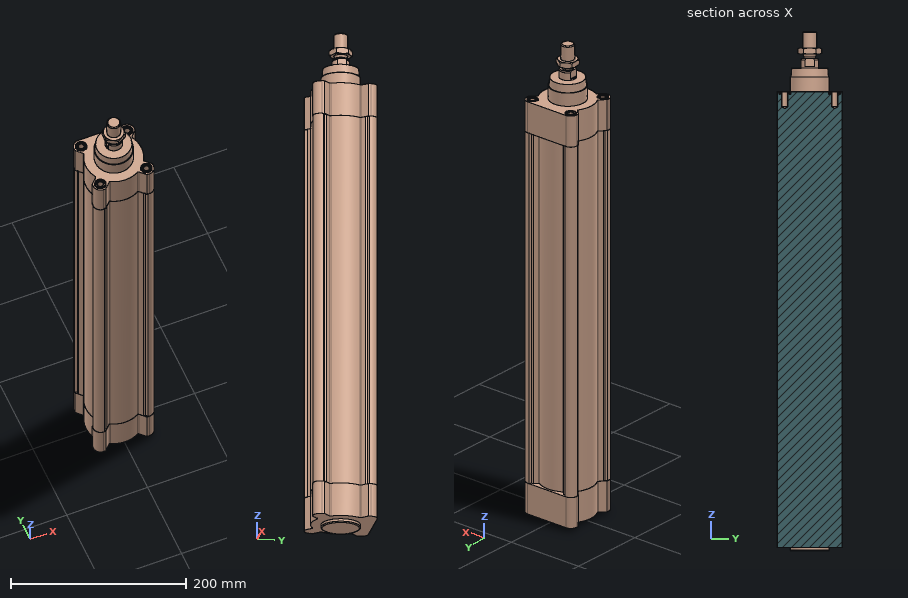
import cadquery as cq
import math

TOTAL_LENGTH = 593.0
REAR_COLLAR_LENGTH = 4.0
CAP_LENGTH = 39.0
FRONT_FACE_Z = 524.5
COLLAR_STEP_Z = 541.0
COLLAR_TOP_Z = 551.0
REAR_FACE_Z = REAR_COLLAR_LENGTH
TUBE_BOTTOM_Z = REAR_FACE_Z + CAP_LENGTH
TUBE_TOP_Z = FRONT_FACE_Z - CAP_LENGTH

WIDTH = 75.0
HALF_WIDTH = WIDTH / 2
SIDE_COUNT = 4
SCREW_SPACING = 57.0
SCREW_OFFSET = SCREW_SPACING / 2
CORNER_RADIUS = HALF_WIDTH - SCREW_OFFSET
BARREL_RADIUS = 34.5
TUBE_INSET = 0.1
VALLEY_FILLET = 1.0
CAP_TIP_OFFSET = 25.5
LEDGE_OUTER_OFFSET = 26.5
LEDGE_FOOT_OFFSET = 25.0
LEDGE_INNER_OFFSET = 22.5
FLANK_OFFSET = HALF_WIDTH - CAP_TIP_OFFSET
VALLEY_OFFSET = (math.sqrt(2 * BARREL_RADIUS**2 - FLANK_OFFSET**2) - FLANK_OFFSET) / 2
VALLEY_DEPTH = VALLEY_OFFSET + FLANK_OFFSET
LEDGE_DEPTH = LEDGE_INNER_OFFSET + FLANK_OFFSET
TOLERANCE = 0.05

COLLAR_DIAMETER = 45.0
COLLAR_STEP_DIAMETER = 43.0
COLLAR_TOP_DIAMETER = 41.5
REAR_COLLAR_CHAMFER = 1.0

SCREW_RECESS_DIAMETER = 13.0
SCREW_HEAD_DIAMETER = 10.5
SCREW_RECESS_DEPTH = 3.0
SCREW_HOLE_DIAMETER = 6.5
SCREW_HOLE_MOUTH_DIAMETER = 8.0
SCREW_HOLE_DEPTH = 17.0
DRILL_TIP_ANGLE = 118.0

ROD_DIAMETER = 20.0
ROD_SHOULDER_Z = 562.0
ROD_CHAMFER_LENGTH = 2.0
ROD_CHAMFER_WIDTH = 0.5
FLATS_WIDTH = 17.0
FLATS_BOTTOM_Z = 553.0
THREAD_DIAMETER = 16.0
THREAD_ROOT_DIAMETER = 13.5
NECK_TOP_Z = 564.0

NUT_WIDTH = 24.0
NUT_HEIGHT = 7.0
NUT_TOP_Z = 574.0
HEXAGON_SIDES = 6
NUT_CHAMFER_ANGLE = 30.0
NUT_BOTTOM_Z = NUT_TOP_Z - NUT_HEIGHT


def cylinder(diameter, bottom, top):
    return cq.Workplane("XY").workplane(offset=bottom).circle(diameter / 2).extrude(top - bottom)


def quarter_turn(point, turns):
    x, y = point
    for _ in range(turns):
        x, y = -y, x
    return (x, y)


def housing_profile(side_points):
    """Fourfold outline: each side has a barrel arc, its two valleys and one corner arc.

    side_points lead from the +X valley of the -Y side out to the corner arc.
    """
    corner_middle = SCREW_OFFSET + CORNER_RADIUS / math.sqrt(2)
    valley = (VALLEY_OFFSET, -VALLEY_DEPTH)
    profile = cq.Workplane("XY").moveTo(-VALLEY_OFFSET, -VALLEY_DEPTH)
    for turns in range(SIDE_COUNT):
        barrel_middle = quarter_turn((0, -BARREL_RADIUS), turns)
        profile = profile.threePointArc(barrel_middle, quarter_turn(valley, turns))
        for point in side_points:
            profile = profile.lineTo(*quarter_turn(point, turns))
        arc_start = side_points[-1]
        arc_end = (-arc_start[1], -arc_start[0])
        profile = profile.threePointArc(
            quarter_turn((corner_middle, -corner_middle), turns), quarter_turn(arc_end, turns)
        )
        for x, y in reversed(side_points[:-1]):
            profile = profile.lineTo(*quarter_turn((-y, -x), turns))
        if turns < SIDE_COUNT - 1:
            profile = profile.lineTo(*quarter_turn((VALLEY_DEPTH, -VALLEY_OFFSET), turns))
    return profile.close()


def fillet_valleys(extrusion):
    """Round the upright edges nearest to the axis, where flanks and barrel arcs meet."""
    def axis_distance(edge):
        return math.hypot(edge.Center().x, edge.Center().y)

    upright_edges = extrusion.edges("|Z").vals()
    valley_distance = min(axis_distance(edge) for edge in upright_edges)
    valleys = [edge for edge in upright_edges if axis_distance(edge) < valley_distance + TOLERANCE]
    return extrusion.newObject(valleys).fillet(VALLEY_FILLET)


def make_tube():
    ledge_rise = math.sqrt(CORNER_RADIUS**2 - (SCREW_OFFSET - LEDGE_OUTER_OFFSET) ** 2)
    side_points = [
        (LEDGE_INNER_OFFSET, -LEDGE_DEPTH),
        (LEDGE_FOOT_OFFSET, -LEDGE_DEPTH),
        (LEDGE_OUTER_OFFSET, -SCREW_OFFSET - ledge_rise),
    ]
    profile = housing_profile(side_points).offset2D(-TUBE_INSET, "intersection")
    tube = fillet_valleys(profile.extrude(TUBE_TOP_Z - TUBE_BOTTOM_Z))
    return tube.translate((0, 0, TUBE_BOTTOM_Z))


def make_cap(bottom):
    side_points = [(CAP_TIP_OFFSET, -HALF_WIDTH), (SCREW_OFFSET, -HALF_WIDTH)]
    cap = fillet_valleys(housing_profile(side_points).extrude(CAP_LENGTH))
    flat_side = cq.Workplane("XY").box(
        2 * SCREW_OFFSET, HALF_WIDTH - VALLEY_OFFSET, CAP_LENGTH, centered=(True, False, False)
    ).translate((0, VALLEY_OFFSET, 0))
    return cap.union(flat_side).translate((0, 0, bottom))


def make_screw_cutters():
    """Ring recess around a screw head, plus its threaded hole, cut down from Z = 0."""
    recess = (
        cq.Workplane("XY")
        .circle(SCREW_RECESS_DIAMETER / 2)
        .circle(SCREW_HEAD_DIAMETER / 2)
        .extrude(-SCREW_RECESS_DEPTH)
    )
    hole_radius = SCREW_HOLE_DIAMETER / 2
    mouth_radius = SCREW_HOLE_MOUTH_DIAMETER / 2
    tip_height = hole_radius / math.tan(math.radians(DRILL_TIP_ANGLE / 2))
    hole = (
        cq.Workplane("XZ")
        .polyline([
            (0, 0),
            (mouth_radius, 0),
            (hole_radius, hole_radius - mouth_radius),
            (hole_radius, -SCREW_HOLE_DEPTH),
            (0, -SCREW_HOLE_DEPTH - tip_height),
        ])
        .close()
        .revolve(360, (0, 0, 0), (0, 1, 0))
    )
    return recess, hole


def make_housing():
    body = make_tube().union(make_cap(REAR_FACE_Z)).union(make_cap(TUBE_TOP_Z))
    rear_collar = cylinder(COLLAR_DIAMETER, 0, REAR_FACE_Z)
    body = body.union(rear_collar.faces("<Z").chamfer(REAR_COLLAR_CHAMFER))
    body = body.union(cylinder(COLLAR_DIAMETER, FRONT_FACE_Z, COLLAR_STEP_Z))
    tapered_collar = (
        cq.Workplane("XY")
        .workplane(offset=COLLAR_STEP_Z)
        .circle(COLLAR_STEP_DIAMETER / 2)
        .workplane(offset=COLLAR_TOP_Z - COLLAR_STEP_Z)
        .circle(COLLAR_TOP_DIAMETER / 2)
        .loft()
    )
    body = body.union(tapered_collar)
    for cutter in make_screw_cutters():
        for x in (-SCREW_OFFSET, SCREW_OFFSET):
            for y in (-SCREW_OFFSET, SCREW_OFFSET):
                body = body.cut(cutter.translate((x, y, FRONT_FACE_Z)))
    return body.cut(cylinder(ROD_DIAMETER, FRONT_FACE_Z, COLLAR_TOP_Z))


def make_rod():
    rod_radius = ROD_DIAMETER / 2
    thread_radius = THREAD_DIAMETER / 2
    root_radius = THREAD_ROOT_DIAMETER / 2
    shaft = (
        cq.Workplane("XZ")
        .polyline([
            (0, FRONT_FACE_Z),
            (rod_radius, FRONT_FACE_Z),
            (rod_radius, ROD_SHOULDER_Z - ROD_CHAMFER_LENGTH),
            (rod_radius - ROD_CHAMFER_WIDTH, ROD_SHOULDER_Z),
            (root_radius, ROD_SHOULDER_Z),
            (root_radius, NECK_TOP_Z),
            (thread_radius, NUT_BOTTOM_Z),
            (thread_radius, TOTAL_LENGTH - thread_radius + root_radius),
            (root_radius, TOTAL_LENGTH),
            (0, TOTAL_LENGTH),
        ])
        .close()
        .revolve(360, (0, 0, 0), (0, 1, 0))
    )
    cutter_size = 2 * ROD_DIAMETER
    flats = (
        cq.Workplane("XY")
        .workplane(offset=FLATS_BOTTOM_Z)
        .rect(cutter_size, cutter_size)
        .rect(FLATS_WIDTH, cutter_size - ROD_DIAMETER / 2)
        .extrude(ROD_SHOULDER_Z - FLATS_BOTTOM_Z)
    )
    return shaft.cut(flats)


def make_nut():
    half_side_angle = math.pi / HEXAGON_SIDES
    corner_diameter = NUT_WIDTH / math.cos(half_side_angle)
    chamfer_width = (corner_diameter - NUT_WIDTH) / 2
    chamfer_height = chamfer_width * math.tan(math.radians(NUT_CHAMFER_ANGLE))
    hexagon = cq.Workplane("XY").polygon(HEXAGON_SIDES, corner_diameter).extrude(NUT_HEIGHT)
    hexagon = hexagon.rotate((0, 0, 0), (0, 0, 1), math.degrees(half_side_angle))
    hexagon = hexagon.translate((0, 0, NUT_BOTTOM_Z))
    rounding = cylinder(corner_diameter, NUT_BOTTOM_Z, NUT_TOP_Z)
    rounding = rounding.faces(">Z").chamfer(chamfer_height, chamfer_width)
    rounding = rounding.faces("<Z").chamfer(chamfer_height, chamfer_width)
    return hexagon.intersect(rounding).cut(cylinder(THREAD_DIAMETER, NUT_BOTTOM_Z, NUT_TOP_Z))


housing = make_housing()
rod = make_rod()
nut = make_nut()

result = cq.Compound.makeCompound([housing.val(), rod.val(), nut.val()])